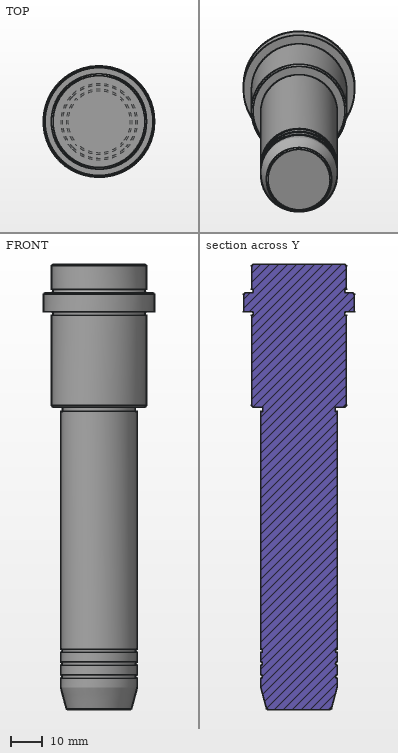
import cadquery as cq
import math

total_height = 140.0
flange_top = 131.0
flange_bottom = 125.0
body_bottom = 95.0
taper_height = 7.0

flange_radius = 17.5
body_radius = 15.0
shaft_radius = 12.0

edge_chamfer = 0.5
tip_chamfer = 0.4
taper_angle = 15.0
tip_radius = shaft_radius - taper_height * math.tan(math.radians(taper_angle))

relief_radius = 0.5
neck_width = 1.3
neck_depth = 0.5

groove_count = 3
groove_pitch = 4.0
groove_radius = 0.49
lowest_groove_center = 10.5


def cylinder(radius, bottom, top):
    """Solid cylinder on the Z axis between two heights."""
    return cq.Workplane("XY").workplane(offset=bottom).circle(radius).extrude(top - bottom)


def cut_round_groove(solid, radius, center_height, groove_radius):
    """Cut a half-round ring groove into a step."""
    ring = cq.Solid.makeTorus(radius, groove_radius, cq.Vector(0, 0, center_height))
    return solid.cut(cq.Workplane(obj=ring))


def make_shaft():
    """Shaft with tapered tip, ring grooves and a relief neck under the body."""
    tip = (
        cq.Workplane("XY")
        .circle(tip_radius)
        .workplane(offset=taper_height)
        .circle(shaft_radius)
        .loft(ruled=True)
        .faces("<Z")
        .chamfer(tip_chamfer)
    )
    shaft = tip.union(cylinder(shaft_radius, taper_height, body_bottom))
    for index in range(groove_count):
        center_height = lowest_groove_center + index * groove_pitch
        shaft = cut_round_groove(shaft, shaft_radius, center_height, groove_radius)
    neck_bottom = body_bottom - neck_width
    neck_sleeve = cylinder(shaft_radius, neck_bottom, body_bottom).cut(
        cylinder(shaft_radius - neck_depth, neck_bottom, body_bottom)
    )
    return shaft.cut(neck_sleeve)


def make_body():
    """Guide body below the flange, relieved where it meets the flange."""
    body = cylinder(body_radius, body_bottom, flange_bottom).faces("<Z").chamfer(edge_chamfer)
    return cut_round_groove(body, body_radius, flange_bottom - relief_radius, relief_radius)


def make_flange():
    """Collar with a broken upper edge."""
    return cylinder(flange_radius, flange_bottom, flange_top).faces(">Z").chamfer(edge_chamfer)


def make_head():
    """Head above the flange, relieved where it meets the flange."""
    head = cylinder(body_radius, flange_top, total_height).faces(">Z").chamfer(edge_chamfer)
    return cut_round_groove(head, body_radius, flange_top + relief_radius, relief_radius)


result = make_shaft().union(make_body()).union(make_flange()).union(make_head())